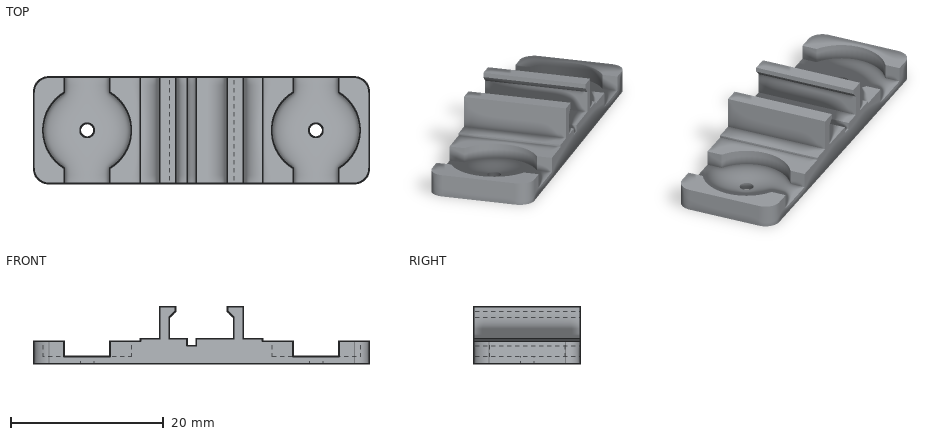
import cadquery as cq

LENGTH = 44.0
WIDTH = 14.0
BASE_HEIGHT = 3.0
CORNER_RADIUS = 2.0

POCKET_SPACING = 30.0
POCKET_DIAMETER = 11.6
POCKET_FLOOR_Z = 1.0
CROSS_SLOT_WIDTH = 6.0
HOLE_DIAMETER = 1.8

PAD_LENGTH = 16.0
PAD_TOP_Z = 3.3

TOTAL_HEIGHT = 7.5
CLIP_OUTER_SPAN = 11.0
CLIP_THICKNESS = 1.3
HOOK_OVERHANG = 0.8
HOOK_LIP_HEIGHT = 0.6

GROOVE_CENTER_X = -1.3
GROOVE_WIDTH = 1.2
GROOVE_FLOOR_Z = 2.4


def cross_block(length, bottom_z, top_z, center_x=0.0):
    """Block over the full plate width, centred on center_x."""
    block = cq.Workplane("XY").box(length, WIDTH, top_z - bottom_z, centered=(True, True, False))
    return block.translate((center_x, 0, bottom_z))


def base_plate():
    return cross_block(LENGTH, 0, BASE_HEIGHT).edges("|Z").fillet(CORNER_RADIUS)


def pocket_cutter(center_x):
    """Round pocket, cross slot and through hole at one end of the plate."""
    slot = cross_block(CROSS_SLOT_WIDTH, POCKET_FLOOR_Z, BASE_HEIGHT, center_x)
    pocket = (
        cq.Workplane("XY", origin=(center_x, 0, POCKET_FLOOR_Z))
        .circle(POCKET_DIAMETER / 2)
        .extrude(BASE_HEIGHT - POCKET_FLOOR_Z)
    )
    hole = cq.Workplane("XY", origin=(center_x, 0, 0)).circle(HOLE_DIAMETER / 2).extrude(BASE_HEIGHT)
    return slot.union(pocket).union(hole)


def clip_wall(side):
    """Hooked wall on the -X side (side = -1) or the +X side (side = 1)."""
    outer_x = CLIP_OUTER_SPAN / 2
    inner_x = outer_x - CLIP_THICKNESS
    tip_x = inner_x - HOOK_OVERHANG
    lip_bottom_z = TOTAL_HEIGHT - HOOK_LIP_HEIGHT
    hook_root_z = lip_bottom_z - HOOK_OVERHANG
    profile = [
        (side * outer_x, BASE_HEIGHT),
        (side * outer_x, TOTAL_HEIGHT),
        (side * tip_x, TOTAL_HEIGHT),
        (side * tip_x, lip_bottom_z),
        (side * inner_x, hook_root_z),
        (side * inner_x, BASE_HEIGHT),
    ]
    return cq.Workplane("XZ").polyline(profile).close().extrude(WIDTH / 2, both=True)


result = base_plate().union(cross_block(PAD_LENGTH, 0, PAD_TOP_Z))
for end in (-1, 1):
    result = result.union(clip_wall(end))
    result = result.cut(pocket_cutter(end * POCKET_SPACING / 2))
result = result.cut(cross_block(GROOVE_WIDTH, GROOVE_FLOOR_Z, PAD_TOP_Z, GROOVE_CENTER_X))